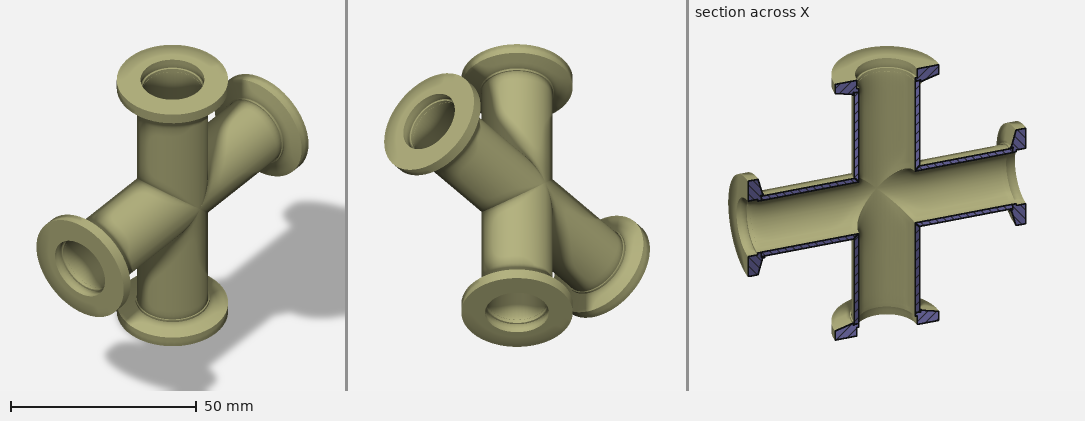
import cadquery as cq
import math

SPAN = 80.0
FACE = SPAN / 2

TUBE_OUTER_DIAMETER = 19.0
TUBE_BORE_DIAMETER = 16.0

FLANGE_DIAMETER = 30.0
HUB_DIAMETER = 20.0
FLANGE_LENGTH = 5.0
HUB_LENGTH = 0.6
CONE_ANGLE = 15.0
RECESS_DIAMETER = 17.2
RECESS_DEPTH = 2.7
LIP_DIAMETER = 16.1
LIP_THICKNESS = 1.0
SOCKET_DIAMETER = 19.3

TUBE_END = FACE - RECESS_DEPTH - LIP_THICKNESS
ARM_ANGLES = [0, 90, 180, 270]


def make_tube():
    """Upright tube arm, mitred at 45 degrees on both sides at the centre."""
    tube = (
        cq.Workplane("XY")
        .circle(TUBE_OUTER_DIAMETER / 2)
        .circle(TUBE_BORE_DIAMETER / 2)
        .extrude(TUBE_END)
    )
    mitre_wedge = (
        cq.Workplane("YZ")
        .polyline([(0, 0), (TUBE_END, TUBE_END), (-TUBE_END, TUBE_END)])
        .close()
        .extrude(TUBE_OUTER_DIAMETER, both=True)
    )
    return tube.intersect(mitre_wedge)


def make_flange():
    """Top clamp flange, revolved about Z from its radial half section."""
    rim_radius = FLANGE_DIAMETER / 2
    hub_radius = HUB_DIAMETER / 2
    socket_radius = SOCKET_DIAMETER / 2
    lip_radius = LIP_DIAMETER / 2
    recess_radius = RECESS_DIAMETER / 2

    hub_end = FACE - FLANGE_LENGTH
    cone_back = hub_end + HUB_LENGTH
    rim_back = cone_back + (rim_radius - hub_radius) * math.tan(math.radians(CONE_ANGLE))
    recess_floor = FACE - RECESS_DEPTH

    half_section = [
        (recess_radius, FACE),
        (rim_radius, FACE),
        (rim_radius, rim_back),
        (hub_radius, cone_back),
        (hub_radius, hub_end),
        (socket_radius, hub_end),
        (socket_radius, TUBE_END),
        (lip_radius, TUBE_END),
        (lip_radius, recess_floor),
        (recess_radius, recess_floor),
    ]
    return cq.Workplane("XZ").polyline(half_section).close().revolve(360, (0, 0, 0), (0, 1, 0))


def place_on_arm(body, angle):
    """Turn an upright body about the X axis onto one arm of the cross."""
    return body.rotate((0, 0, 0), (1, 0, 0), angle).val()


tubes = [place_on_arm(make_tube(), angle) for angle in ARM_ANGLES]
flanges = [place_on_arm(make_flange(), angle) for angle in ARM_ANGLES]

result = cq.Compound.makeCompound([*tubes, *flanges])